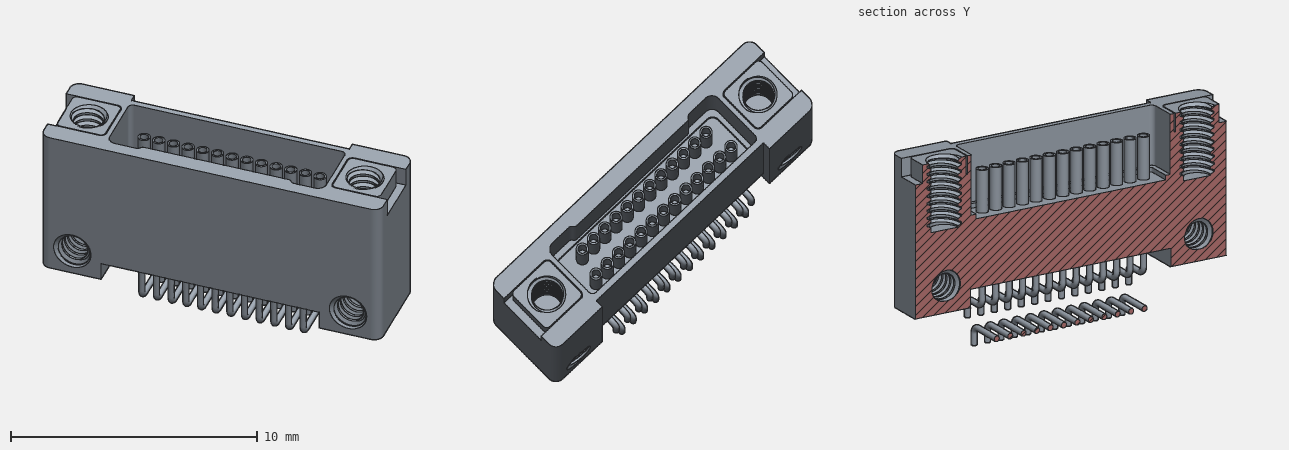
import cadquery as cq
import math

LENGTH = 14.71
WIDTH = 3.87
HEIGHT = 6.62
EDGE_RADIUS = 0.4
RELIEF_LENGTH = 9.44
FOOT_HEIGHT = 0.8
BACK_RELIEF_DEPTH = 0.35

CAVITY_LENGTH = 9.38
CAVITY_BACK_Y = 1.32
CAVITY_FRONT_Y = -1.21
CAVITY_DEPTH = 2.6
CAVITY_BACK_RADIUS = 0.2
CAVITY_FRONT_RADIUS = 0.37
KEY_DEPTH = 0.17
KEY_START_X = 3.12
KEY_END_X = 3.41
INSERT_LENGTH = 8.95
INSERT_BACK_Y = 1.14
INSERT_FRONT_Y = -1.12
INSERT_BACK_RADIUS = 0.15
INSERT_FRONT_RADIUS = 0.32
INSERT_RECESS = 0.2

FASTENER_X = 5.97
BLOCK_LENGTH = 2.08
BLOCK_WIDTH = 2.09
BLOCK_RADIUS = 0.2
BLOCK_HEIGHT = 0.8
BLOCK_GAP = 0.04

THREAD_PITCH = 0.3175
GROOVE_MOUTH_WIDTH = 0.26
GROOVE_FLOOR_WIDTH = 0.06
GROOVE_OVERLAP = 0.05
JACK_MINOR_RADIUS = 0.63
JACK_MAJOR_RADIUS = 0.8
JACK_ENTRY_RADIUS = 0.76
JACK_HOLE_DEPTH = 3.0
MOUNT_MINOR_RADIUS = 0.58
MOUNT_MAJOR_RADIUS = 0.75
MOUNT_ENTRY_RADIUS = 0.81
MOUNT_HOLE_Z = 1.12

CONTACT_PITCH = 0.635
CONTACT_ROWS = [
    (0.63, 13, -0.31, -1.15),
    (-0.5, 12, -1.565, -2.41),
]
SOCKET_RADIUS = 0.25
SOCKET_BORE_RADIUS = 0.175
SOCKET_BORE_DEPTH = 1.0
SOCKET_TOP_DROP = 0.95
LEAD_RADIUS = 0.13
LEAD_BEND_RADIUS = 0.32
LEAD_EMBED = 0.5
TAIL_CHAMFER = 0.04

CAVITY_FLOOR_Z = HEIGHT - CAVITY_DEPTH
INSERT_FLOOR_Z = CAVITY_FLOOR_Z - INSERT_RECESS
TAIL_Y = WIDTH / 2 - LEAD_RADIUS
DIAGONAL = math.sqrt(0.5)


def shell():
    body = cq.Workplane("XY").box(LENGTH, WIDTH, HEIGHT, centered=(True, True, False))
    body = body.edges("|Z").fillet(EDGE_RADIUS)
    under_relief = cq.Workplane("XY").box(
        RELIEF_LENGTH, WIDTH, FOOT_HEIGHT, centered=(True, True, False)
    )
    back_relief = (
        cq.Workplane("XY")
        .box(RELIEF_LENGTH, BACK_RELIEF_DEPTH, HEIGHT, centered=(True, False, False))
        .translate((0, WIDTH / 2 - BACK_RELIEF_DEPTH, 0))
    )
    return body.cut(under_relief).cut(back_relief)


def cavity():
    """Rounded opening whose front wall steps forward into a keyway at each end."""
    half = CAVITY_LENGTH / 2
    key_y = CAVITY_FRONT_Y - KEY_DEPTH
    back_r = CAVITY_BACK_RADIUS
    front_r = CAVITY_FRONT_RADIUS
    key_mid = ((KEY_START_X + KEY_END_X) / 2, CAVITY_FRONT_Y - KEY_DEPTH / 2)
    right_half = (
        cq.Workplane("XY", origin=(0, 0, CAVITY_FLOOR_Z))
        .moveTo(0, CAVITY_BACK_Y)
        .lineTo(0, CAVITY_FRONT_Y)
        .lineTo(KEY_START_X, CAVITY_FRONT_Y)
        .tangentArcPoint(key_mid, relative=False)
        .tangentArcPoint((KEY_END_X, key_y), relative=False)
        .lineTo(half - front_r, key_y)
        .tangentArcPoint((half, key_y + front_r), relative=False)
        .lineTo(half, CAVITY_BACK_Y - back_r)
        .tangentArcPoint((half - back_r, CAVITY_BACK_Y), relative=False)
        .close()
        .extrude(CAVITY_DEPTH)
    )
    return right_half.union(right_half.mirror("YZ"))


def insert_recess():
    insert_width = INSERT_BACK_Y - INSERT_FRONT_Y
    recess = (
        cq.Workplane("XY")
        .box(INSERT_LENGTH, insert_width, INSERT_RECESS, centered=(True, False, False))
        .translate((0, INSERT_FRONT_Y, INSERT_FLOOR_Z))
    )
    recess = recess.edges("|Z and >Y").fillet(INSERT_BACK_RADIUS)
    return recess.edges("|Z and <Y").fillet(INSERT_FRONT_RADIUS)


def jack_slot(side):
    """Slot, open to the end of the shell, around a jack block that is left standing in it."""
    block_base = HEIGHT - BLOCK_HEIGHT
    inner_x = FASTENER_X - BLOCK_LENGTH / 2 - BLOCK_GAP
    slot = (
        cq.Workplane("XY")
        .box(LENGTH, BLOCK_WIDTH + 2 * BLOCK_GAP, BLOCK_HEIGHT, centered=(False, True, False))
        .edges("|Z and <X")
        .fillet(BLOCK_RADIUS + BLOCK_GAP)
        .translate((inner_x, 0, block_base))
    )
    block = (
        cq.Workplane("XY")
        .box(BLOCK_LENGTH, BLOCK_WIDTH, BLOCK_HEIGHT, centered=(True, True, False))
        .edges("|Z")
        .fillet(BLOCK_RADIUS)
        .translate((FASTENER_X, 0, block_base))
    )
    slot = slot.cut(block)
    return slot if side > 0 else slot.mirror("YZ")


def thread_groove(minor_radius, major_radius, length):
    """Helical groove cutter winding up +Z from the origin.

    Cut it before the plain hole: solid minus helix minus cylinder is the dependable order.
    """
    inside_radius = minor_radius - GROOVE_OVERLAP
    helix = cq.Wire.makeHelix(THREAD_PITCH, length, inside_radius)
    return (
        cq.Workplane("XZ")
        .moveTo(inside_radius, -GROOVE_MOUTH_WIDTH / 2)
        .lineTo(major_radius, -GROOVE_FLOOR_WIDTH / 2)
        .lineTo(major_radius, GROOVE_FLOOR_WIDTH / 2)
        .lineTo(inside_radius, GROOVE_MOUTH_WIDTH / 2)
        .close()
        .sweep(cq.Workplane(obj=helix), isFrenet=True)
    )


def drill_and_sink(radius, entry_radius, depth):
    """Plain hole cutter along +Z from the origin, and the 45 degree countersink for its top."""
    drill = cq.Workplane("XY").circle(radius).extrude(depth)
    sink_depth = entry_radius - radius
    sink_start = cq.Vector(0, 0, depth - sink_depth)
    sink = cq.Solid.makeCone(radius, entry_radius, sink_depth, pnt=sink_start)
    return drill, cq.Workplane(obj=sink)


def cut_jack_hole(body, side):
    """Blind threaded hole down the middle of a jack block."""
    bottom = (side * FASTENER_X, 0, HEIGHT - JACK_HOLE_DEPTH)
    groove = thread_groove(JACK_MINOR_RADIUS, JACK_MAJOR_RADIUS, JACK_HOLE_DEPTH)
    groove = groove.translate((0, 0, THREAD_PITCH / 2))
    drill, sink = drill_and_sink(JACK_MINOR_RADIUS, JACK_ENTRY_RADIUS, JACK_HOLE_DEPTH)
    for cutter in (groove, drill, sink):
        body = body.cut(cutter.translate(bottom))
    return body


def cut_mount_hole(body, side):
    """Threaded hole through the shell along Y, countersunk at the front."""
    back_end = (side * FASTENER_X, WIDTH / 2, MOUNT_HOLE_Z)
    groove = thread_groove(MOUNT_MINOR_RADIUS, MOUNT_MAJOR_RADIUS, WIDTH + 2 * THREAD_PITCH)
    groove = groove.translate((0, 0, -THREAD_PITCH))
    drill, sink = drill_and_sink(MOUNT_MINOR_RADIUS, MOUNT_ENTRY_RADIUS, WIDTH)
    for cutter in (groove, drill, sink):
        facing_front = cutter.rotate((0, 0, 0), (1, 0, 0), 90)
        body = body.cut(facing_front.translate(back_end))
    return body


def contact(row_y, run_z, tail_z):
    """One contact at X = 0: socket tube standing in the cavity and double-bent round tail."""
    bend = LEAD_BEND_RADIUS
    corner = bend * DIAGONAL
    lead_top = FOOT_HEIGHT + LEAD_EMBED
    path = (
        cq.Workplane("YZ")
        .moveTo(row_y, lead_top)
        .lineTo(row_y, run_z + bend)
        .threePointArc((row_y + bend - corner, run_z + bend - corner), (row_y + bend, run_z))
        .lineTo(TAIL_Y - bend, run_z)
        .threePointArc((TAIL_Y - bend + corner, run_z - bend + corner), (TAIL_Y, run_z - bend))
        .lineTo(TAIL_Y, tail_z)
    )
    lead = cq.Workplane("XY", origin=(0, row_y, lead_top)).circle(LEAD_RADIUS).sweep(path)
    lead = lead.faces("<Z").chamfer(TAIL_CHAMFER)
    socket_length = HEIGHT - SOCKET_TOP_DROP - INSERT_FLOOR_Z
    socket = (
        cq.Workplane("XY", origin=(0, row_y, INSERT_FLOOR_Z))
        .circle(SOCKET_RADIUS)
        .extrude(socket_length)
        .faces(">Z")
        .workplane()
        .hole(2 * SOCKET_BORE_RADIUS, SOCKET_BORE_DEPTH)
    )
    return lead, socket


def add_contacts(body):
    parts = []
    for row_y, count, run_z, tail_z in CONTACT_ROWS:
        lead, socket = contact(row_y, run_z, tail_z)
        for index in range(count):
            offset = cq.Vector((index - (count - 1) / 2) * CONTACT_PITCH, 0, 0)
            parts.append(lead.val().translate(offset))
            parts.append(socket.val().translate(offset))
    return cq.Workplane("XY").add(body.val().fuse(*parts))


part = shell().cut(cavity()).cut(insert_recess())
for end in (-1, 1):
    part = part.cut(jack_slot(end))
    part = cut_jack_hole(part, end)
    part = cut_mount_hole(part, end)
result = add_contacts(part)